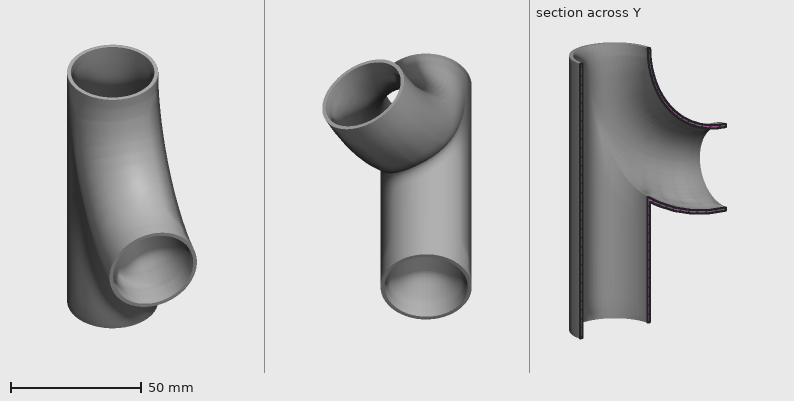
import cadquery as cq

outer_diameter = 35.0
inner_diameter = 32.0
run_length = 110.0
bend_radius = run_length / 2


def straight_run(diameter):
    """Solid cylinder along Z with its base on the XY plane."""
    return cq.Workplane("XY").circle(diameter / 2).extrude(run_length)


def curved_branch(diameter):
    """Quarter-turn elbow from an outlet facing +X up to the top end of the run."""
    outlet_centre = (bend_radius, 0, run_length - bend_radius)
    return (
        cq.Workplane("YZ", origin=outlet_centre)
        .circle(diameter / 2)
        .revolve(90, (-1.1, bend_radius), (1.1, bend_radius))
    )


def tee_body(diameter):
    """Run and branch merged into one solid of the given diameter."""
    return straight_run(diameter).union(curved_branch(diameter))


result = tee_body(outer_diameter).cut(tee_body(inner_diameter))